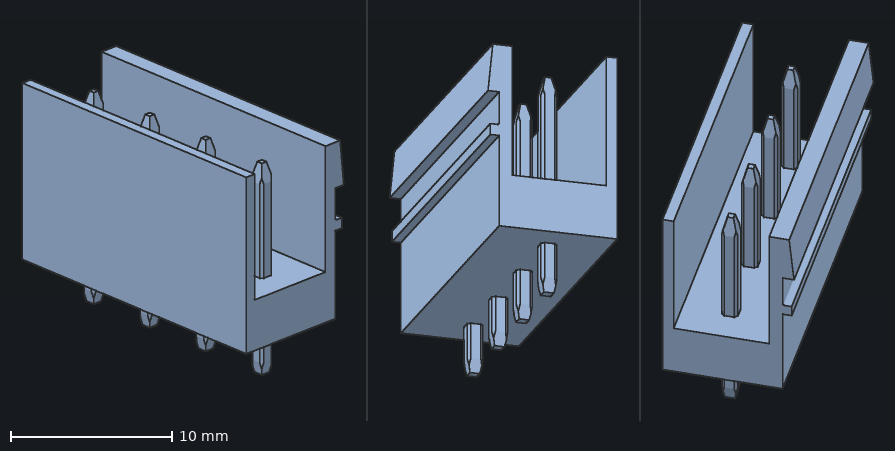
import cadquery as cq

housing_length = 20.0
housing_height = 12.0
housing_depth = 7.7
floor_thickness = 3.45
front_wall_thickness = 0.73
rear_wall_inner_y = 6.84

hook_tip_y = 8.43
hook_top_y = 8.12
hook_bottom_z = 8.87

rib_tip_y = 8.28
rib_bottom_z = 5.98
rib_top_z = 6.7
rib_root_radius = 0.15

pin_count = 4
pin_pitch = 5.0
pin_y = 3.77
pin_width = 1.03
pin_edge_chamfer = 0.19
pin_top_z = 11.1
pin_bottom_z = -3.2
top_taper_length = 1.27
top_tip_width = 0.4
bottom_taper_length = 0.92
bottom_tip_width = 0.65

first_pin_x = (housing_length - (pin_count - 1) * pin_pitch) / 2
pin_positions = [(first_pin_x + i * pin_pitch, pin_y) for i in range(pin_count)]


def pin_bar():
    """Full-length pin bar with chamfered long edges, standing on the Z axis."""
    bar = cq.Workplane("XY", origin=(0, 0, pin_bottom_z))
    bar = bar.rect(pin_width, pin_width).extrude(pin_top_z - pin_bottom_z)
    return bar.edges("|Z").chamfer(pin_edge_chamfer)


def taper(shoulder_z, tip_z, tip_width):
    """Square frustum from the full pin width at the shoulder to the tip."""
    base = cq.Workplane("XY", origin=(0, 0, shoulder_z)).rect(pin_width, pin_width)
    return base.workplane(offset=tip_z - shoulder_z).rect(tip_width, tip_width).loft(ruled=True)


def make_pin():
    """Pin on the Z axis: the chamfered bar trimmed by the two tapered points."""
    top_shoulder_z = pin_top_z - top_taper_length
    bottom_shoulder_z = pin_bottom_z + bottom_taper_length
    envelope = cq.Workplane("XY", origin=(0, 0, bottom_shoulder_z))
    envelope = envelope.rect(pin_width, pin_width).extrude(top_shoulder_z - bottom_shoulder_z)
    envelope = envelope.union(taper(top_shoulder_z, pin_top_z, top_tip_width))
    envelope = envelope.union(taper(bottom_shoulder_z, pin_bottom_z, bottom_tip_width))
    return pin_bar().intersect(envelope)


def make_housing(pins):
    """Channel with its latch hook and rib, and a fitted hole for each pin."""
    profile = (
        cq.Workplane("YZ")
        .moveTo(0, 0)
        .lineTo(housing_depth, 0)
        .lineTo(housing_depth, rib_bottom_z)
        .lineTo(rib_tip_y, rib_bottom_z)
        .lineTo(rib_tip_y, rib_top_z)
        .lineTo(housing_depth + rib_root_radius, rib_top_z)
        .radiusArc((housing_depth, rib_top_z + rib_root_radius), rib_root_radius)
        .lineTo(housing_depth, hook_bottom_z)
        .lineTo(hook_tip_y, hook_bottom_z)
        .lineTo(hook_top_y, housing_height)
        .lineTo(rear_wall_inner_y, housing_height)
        .lineTo(rear_wall_inner_y, floor_thickness)
        .lineTo(front_wall_thickness, floor_thickness)
        .lineTo(front_wall_thickness, housing_height)
        .lineTo(0, housing_height)
        .close()
    )
    housing = profile.extrude(housing_length)
    for pin in pins:
        housing = housing.cut(pin)
    return housing


pins = [make_pin().translate((x, y, 0)) for x, y in pin_positions]
housing = make_housing(pins)

result = cq.Compound.makeCompound([housing.solids().val(), *[pin.solids().val() for pin in pins]])